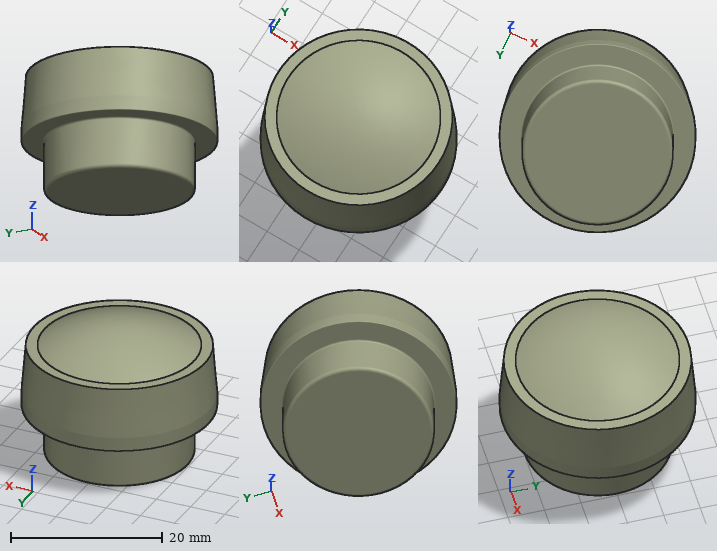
import cadquery as cq

head_radius = 12.98
head_top_radius = 12.4
dome_radius = 10.85
stem_radius = 10.0

stem_height = 7.0
band_height = 2.0
taper_height = 7.0
dome_height = 2.99

dome_shoulder_radius = 5.63
dome_shoulder_drop = 0.85
dome_rim_slope = 0.53

stem_edge_fillet = 0.47
band_edge_fillet = 0.1
neck_fillet = 0.23

band_top = stem_height + band_height
head_top = band_top + taper_height
apex = head_top + dome_height

profile = (
    cq.Workplane("XZ")
    .lineTo(stem_radius, 0)
    .lineTo(stem_radius, stem_height)
    .lineTo(head_radius, stem_height)
    .lineTo(head_radius, band_top)
    .lineTo(head_top_radius, head_top)
    .lineTo(dome_radius, head_top)
    .spline(
        [(dome_shoulder_radius, apex - dome_shoulder_drop), (0, apex)],
        tangents=[(-1, dome_rim_slope), (-1, 0)],
        includeCurrent=True,
    )
    .close()
)
body = profile.revolve(360, (0, 0, 0), (0, 1, 0))


def circle_edge(radius, height):
    """Select the circular edge of a given radius at a given height."""
    margin = 0.03
    outer = radius + margin
    return cq.selectors.BoxSelector(
        (-outer, -outer, height - margin), (outer, outer, height + margin), boundingbox=True
    )


body = body.edges(circle_edge(stem_radius, 0)).fillet(stem_edge_fillet)
body = body.edges(circle_edge(stem_radius, stem_height)).fillet(neck_fillet)
band_rim = circle_edge(head_radius, stem_height) - circle_edge(stem_radius + neck_fillet, stem_height)
result = body.edges(band_rim).fillet(band_edge_fillet)